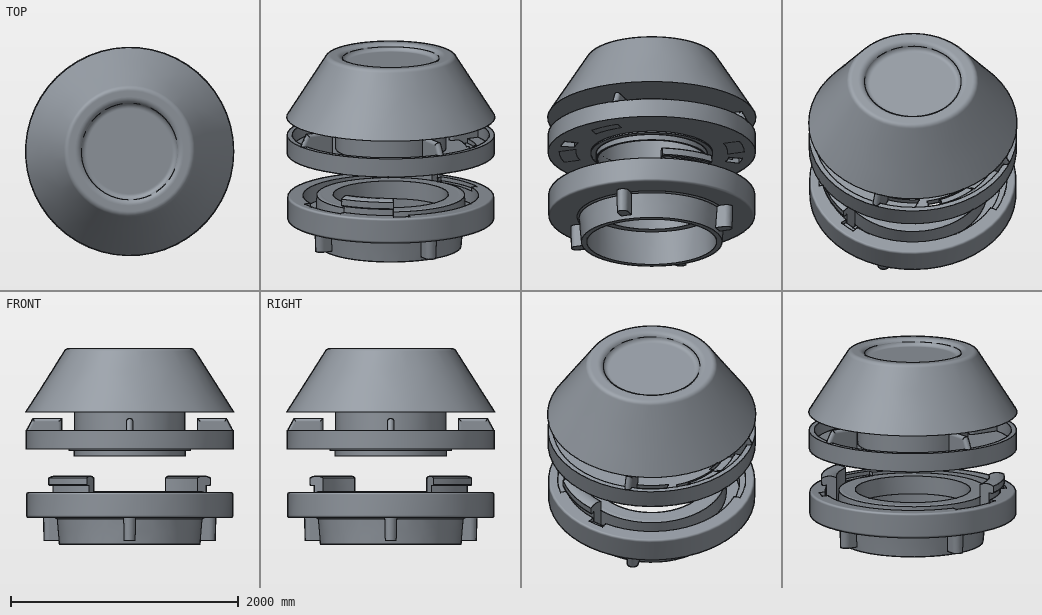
import cadquery as cq
import math

BASE_TUB_BOTTOM = 0.0
FLANGE_BOTTOM = 235.0
FLANGE_TOP = 456.0
INNER_RING_TOP = 464.0
CLAW_TOP = 600.0
COLLAR_BOTTOM = 774.0
SEAL_BOTTOM = 824.0
PLATE_BOTTOM = 837.0
PLATE_TOP = 1000.0
HOOD_BOTTOM = 1161.0
HOOD_TOP = 1718.8

FLANGE_RADIUS = 1810.0 / 2
FLANGE_EDGE_FILLET = 19.0
BASE_BORE_RADIUS = 1010.0 / 2
TUB_BOTTOM_RADIUS = 1235.0 / 2
TUB_DRAFT = 5.0
TUB_STEP_HEIGHT = 12.0
TUB_STEP_RADIUS = 655.0
TUB_CAVITY_RADIUS = 1140.0 / 2
CHANNEL_INNER_RADIUS = 656.0
CHANNEL_OUTER_RADIUS = 770.0
CHANNEL_DEPTH = 152.0
RING_ROUND_RADIUS = 600.0
RING_ROUND_DROP = 4.0
RING_SHOULDER_RADIUS = 648.0
RING_ROUND_BULGE = 3.0
RELIEF_OUTER_RADIUS = 825.0
RELIEF_DEPTH = 35.0

CLAW_ANGLES = (45.0, 225.0)
CLAW_HALF_ANGLE = 17.1
CLAW_INNER_RADIUS = 671.0
CLAW_NECK_RADIUS = 761.0
CLAW_LIP_RADIUS = 803.0
CLAW_LIP_BOTTOM = 517.0
CLAW_SHOULDER = 582.0
CLAW_CREST_RADIUS = 730.0
CLAW_LIP_CHAMFER = 8.0
LONG_RELIEF_ANGLE = 34.0
SHORT_RELIEF_ANGLE = 10.0

LUG_ANGLES = (0.0, 90.0, 180.0, 270.0)
LUG_WIDTH = 106.0
LUG_REACH = 757.0
LUG_ROOT_RADIUS = 600.0
LUG_BOTTOM = 34.0
LUG_DRAFT = 1.5

PLATE_RADIUS = 1820.0 / 2
PLATE_RIM_INNER_RADIUS = 865.0
PLATE_FLOOR_DEPTH = 117.0

POCKET_INNER_RADIUS = 665.0
WIDE_POCKET_RADIUS = 812.0
NARROW_POCKET_RADIUS = 757.0
RECESS_RADIUS = 755.0
POCKET_REACH = 295.0
POCKET_DEPTH = 40.0
SMALL_OPENING_ANGLES = (302.0, 311.0)
RECESS_ANGLES = (311.5, 336.0)
RECESS_INNER_RADIUS = 690.0
RECESS_DEPTH = 15.0

RIB_WIDTH = 58.0
RIB_TOP = 1105.0
RIB_INNER_RADIUS = 594.0
RIB_TOP_OUTER_RADIUS = 849.0
RIB_FOOT_RADIUS = 905.0
RIB_ROUND = 28.95

NECK_RADIUS = 970.0 / 2
NECK_BORE_RADIUS = 950.0 / 2
COLLAR_RADIUS = 980.0 / 2
SEAL_RADIUS = 1070.0 / 2

HOOD_RADIUS = 1828.0 / 2
HOOD_SHOULDER_RADIUS = 576.0
HOOD_SHOULDER_DROP = 26.0
HOOD_CROWN_RADIUS = 530.0
HOOD_ROUND_MID_RADIUS = 557.0
HOOD_ROUND_MID_DROP = 7.0
DISH_RIM_RADIUS = 475.0
DISH_STEP_OUTER_RADIUS = 424.0
DISH_STEP_INNER_RADIUS = 421.0
DISH_STEP_HEIGHT = 8.0
DISH_FLOOR_RADIUS = 750.0 / 2
DISH_DEPTH = 61.0
DISH_ARC_RADIUS = 402.0
DISH_ARC_DROP = 19.5


def ring(outer_radius, inner_radius, bottom, top):
    """Flat ring about Z."""
    return (
        cq.Workplane("XY", origin=(0, 0, bottom))
        .circle(outer_radius)
        .circle(inner_radius)
        .extrude(top - bottom)
    )


def ring_sector(outer_radius, inner_radius, bottom, top, start_angle, end_angle):
    """Part of a ring between two angles about Z."""
    return (
        cq.Workplane("XZ")
        .moveTo(inner_radius, bottom)
        .lineTo(outer_radius, bottom)
        .lineTo(outer_radius, top)
        .lineTo(inner_radius, top)
        .close()
        .revolve(end_angle - start_angle, (0, 0, 0), (0, -1, 0))
        .rotate((0, 0, 0), (0, 0, 1), end_angle)
    )


def make_claw(angle):
    claw = (
        cq.Workplane("XZ")
        .moveTo(CLAW_INNER_RADIUS, FLANGE_TOP - CHANNEL_DEPTH)
        .lineTo(CLAW_NECK_RADIUS, FLANGE_TOP - CHANNEL_DEPTH)
        .lineTo(CLAW_NECK_RADIUS, CLAW_LIP_BOTTOM)
        .lineTo(CLAW_LIP_RADIUS - CLAW_LIP_CHAMFER, CLAW_LIP_BOTTOM)
        .lineTo(CLAW_LIP_RADIUS, CLAW_LIP_BOTTOM + CLAW_LIP_CHAMFER)
        .lineTo(CLAW_LIP_RADIUS, CLAW_SHOULDER)
        .threePointArc((CLAW_CREST_RADIUS, CLAW_TOP), (CLAW_INNER_RADIUS, CLAW_SHOULDER))
        .close()
        .revolve(2 * CLAW_HALF_ANGLE, (0, 0, 0), (0, -1, 0))
    )
    return claw.rotate((0, 0, 0), (0, 0, 1), angle + CLAW_HALF_ANGLE)


def make_lug(angle):
    half_width = LUG_WIDTH / 2
    arc_start = LUG_REACH - half_width
    return (
        cq.Workplane("XY", origin=(0, 0, FLANGE_BOTTOM))
        .moveTo(LUG_ROOT_RADIUS, -half_width)
        .lineTo(arc_start, -half_width)
        .threePointArc((LUG_REACH, 0), (arc_start, half_width))
        .lineTo(LUG_ROOT_RADIUS, half_width)
        .close()
        .extrude(LUG_BOTTOM - FLANGE_BOTTOM, taper=LUG_DRAFT)
        .rotate((0, 0, 0), (0, 0, 1), angle)
    )


def make_base():
    flange = (
        cq.Workplane("XY", origin=(0, 0, FLANGE_BOTTOM))
        .circle(FLANGE_RADIUS)
        .extrude(FLANGE_TOP - FLANGE_BOTTOM)
        .edges()
        .fillet(FLANGE_EDGE_FILLET)
    )
    channel_floor = FLANGE_TOP - CHANNEL_DEPTH
    relief_floor = FLANGE_TOP - RELIEF_DEPTH
    channel = ring(CHANNEL_OUTER_RADIUS, CHANNEL_INNER_RADIUS, channel_floor, FLANGE_TOP)
    flange = flange.cut(channel)
    for angle in CLAW_ANGLES:
        claw_start = angle - CLAW_HALF_ANGLE
        claw_end = angle + CLAW_HALF_ANGLE
        reliefs = (
            (claw_start - LONG_RELIEF_ANGLE, claw_start),
            (claw_end, claw_end + SHORT_RELIEF_ANGLE),
        )
        for start, end in reliefs:
            flange = flange.cut(
                ring_sector(
                    RELIEF_OUTER_RADIUS, CHANNEL_INNER_RADIUS, relief_floor, FLANGE_TOP, start, end
                )
            )

    step_bottom = FLANGE_BOTTOM - TUB_STEP_HEIGHT
    tub_top_radius = TUB_BOTTOM_RADIUS + step_bottom * math.tan(math.radians(TUB_DRAFT))
    ring_shoulder = INNER_RING_TOP - RING_ROUND_DROP
    round_middle = (
        (RING_SHOULDER_RADIUS + RING_ROUND_RADIUS) / 2,
        (ring_shoulder + INNER_RING_TOP) / 2 + RING_ROUND_BULGE,
    )
    tub = (
        cq.Workplane("XZ")
        .moveTo(TUB_CAVITY_RADIUS, BASE_TUB_BOTTOM)
        .lineTo(TUB_BOTTOM_RADIUS, BASE_TUB_BOTTOM)
        .lineTo(tub_top_radius, step_bottom)
        .lineTo(TUB_STEP_RADIUS, FLANGE_BOTTOM)
        .lineTo(CHANNEL_INNER_RADIUS, channel_floor)
        .lineTo(RING_SHOULDER_RADIUS, ring_shoulder)
        .threePointArc(round_middle, (RING_ROUND_RADIUS, INNER_RING_TOP))
        .lineTo(BASE_BORE_RADIUS, INNER_RING_TOP)
        .lineTo(BASE_BORE_RADIUS, channel_floor)
        .lineTo(TUB_CAVITY_RADIUS, channel_floor)
        .close()
        .revolve(360, (0, 0, 0), (0, 1, 0))
    )
    flange_opening = (
        cq.Workplane("XY", origin=(0, 0, FLANGE_BOTTOM))
        .circle(TUB_STEP_RADIUS)
        .extrude(channel_floor - FLANGE_BOTTOM)
        .faces(">Z")
        .workplane()
        .circle(CHANNEL_INNER_RADIUS)
        .extrude(CHANNEL_DEPTH)
    )
    base = flange.cut(flange_opening).union(tub)
    for angle in LUG_ANGLES:
        base = base.union(make_lug(angle))
    for angle in CLAW_ANGLES:
        base = base.union(make_claw(angle))
    return base


def make_rib(angle):
    floor = PLATE_TOP - PLATE_FLOOR_DEPTH
    rib = (
        cq.Workplane("XZ")
        .moveTo(RIB_INNER_RADIUS, PLATE_BOTTOM)
        .lineTo(RIB_INNER_RADIUS, RIB_TOP)
        .lineTo(RIB_TOP_OUTER_RADIUS, RIB_TOP)
        .lineTo(RIB_FOOT_RADIUS, PLATE_TOP)
        .lineTo(RIB_FOOT_RADIUS, PLATE_BOTTOM)
        .close()
        .extrude(RIB_WIDTH / 2, both=True)
    )
    rib = rib.faces(">Y or <Y").edges("not(<Z)").fillet(RIB_ROUND)
    below_floor = cq.Workplane("XY").rect(4 * RIB_FOOT_RADIUS, 2 * RIB_WIDTH).extrude(floor)
    return rib.cut(below_floor).rotate((0, 0, 0), (0, 0, 1), angle)


def rib_side_pocket(outer_radius, side):
    """Pocket beside the +X rib, with straight sides parallel to the rib."""
    floor = PLATE_TOP - PLATE_FLOOR_DEPTH
    width = POCKET_REACH - RIB_WIDTH / 2
    strip = (
        cq.Workplane("XY", origin=(0, 0, floor - POCKET_DEPTH))
        .center(outer_radius / 2, side * (RIB_WIDTH / 2 + width / 2))
        .rect(outer_radius, width)
        .extrude(POCKET_DEPTH)
    )
    return strip.intersect(ring(outer_radius, POCKET_INNER_RADIUS, floor - POCKET_DEPTH, floor))


def make_plate():
    floor = PLATE_TOP - PLATE_FLOOR_DEPTH
    plate = ring(PLATE_RADIUS, NECK_RADIUS, PLATE_BOTTOM, PLATE_TOP)
    plate = plate.cut(ring(PLATE_RIM_INNER_RADIUS, NECK_RADIUS, floor, PLATE_TOP))
    recess = ring_sector(
        RECESS_RADIUS, RECESS_INNER_RADIUS, floor - RECESS_DEPTH, floor, *RECESS_ANGLES
    )
    small_opening = ring_sector(
        WIDE_POCKET_RADIUS, RECESS_INNER_RADIUS, PLATE_BOTTOM, floor, *SMALL_OPENING_ANGLES
    )
    narrow_pocket = rib_side_pocket(NARROW_POCKET_RADIUS, -1)
    wide_pocket = rib_side_pocket(WIDE_POCKET_RADIUS, 1).rotate((0, 0, 0), (0, 0, 1), 270)
    for cutter in (narrow_pocket, wide_pocket, small_opening, recess):
        for turn in (0, 180):
            plate = plate.cut(cutter.rotate((0, 0, 0), (0, 0, 1), turn))
    for angle in LUG_ANGLES:
        plate = plate.union(make_rib(angle))
    return plate


def make_hood():
    shoulder_middle = (HOOD_ROUND_MID_RADIUS, HOOD_TOP - HOOD_ROUND_MID_DROP)
    shoulder_z = HOOD_TOP - HOOD_SHOULDER_DROP
    dish_step_top = HOOD_TOP - (DISH_DEPTH - DISH_STEP_HEIGHT) / 2
    dish_step_bottom = dish_step_top - DISH_STEP_HEIGHT
    dish_floor = HOOD_TOP - DISH_DEPTH
    return (
        cq.Workplane("XZ")
        .moveTo(0, HOOD_BOTTOM)
        .lineTo(HOOD_RADIUS, HOOD_BOTTOM)
        .lineTo(HOOD_SHOULDER_RADIUS, shoulder_z)
        .threePointArc(shoulder_middle, (HOOD_CROWN_RADIUS, HOOD_TOP))
        .lineTo(DISH_RIM_RADIUS, HOOD_TOP)
        .tangentArcPoint((DISH_STEP_OUTER_RADIUS, dish_step_top), relative=False)
        .lineTo(DISH_STEP_INNER_RADIUS, dish_step_bottom)
        .threePointArc((DISH_ARC_RADIUS, dish_step_bottom - DISH_ARC_DROP), (DISH_FLOOR_RADIUS, dish_floor))
        .lineTo(0, dish_floor)
        .close()
        .revolve(360, (0, 0, 0), (0, 1, 0))
    )


base = make_base()
collar = ring(COLLAR_RADIUS, NECK_RADIUS, COLLAR_BOTTOM, SEAL_BOTTOM)
seal = ring(SEAL_RADIUS, NECK_RADIUS, SEAL_BOTTOM, PLATE_BOTTOM)
neck = ring(NECK_RADIUS, NECK_BORE_RADIUS, COLLAR_BOTTOM, HOOD_BOTTOM)
plate = make_plate()
hood = make_hood()

result = cq.Compound.makeCompound(
    [base.val(), collar.val(), seal.val(), neck.val(), plate.val(), hood.val()]
)